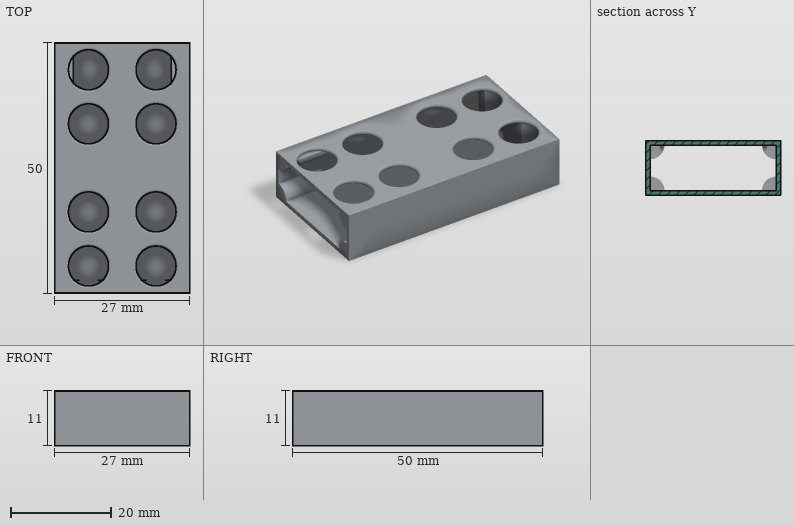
import cadquery as cq

width = 27.0
length = 50.0
height = 11.0

skin = 1.0
front_wall = 2.5
cavity_width = width - 2 * skin
cavity_height = height - 2 * skin
cavity_length = length - front_wall

pocket_radius = 4.5
pocket_floor_fillet = 1.0
lip_radius = skin / 2
column_x = width / 4
inner_row_y = 8.8
row_pitch = 10.8
outer_row_y = inner_row_y + row_pitch

rail_radius = 2.75
rail_length = 10.0


def make_shell():
    """Block with a rectangular cavity that runs out through the +Y end."""
    block = cq.Workplane("XY").box(width, length, height, centered=(True, True, False))
    cavity = (
        cq.Workplane("XY")
        .box(cavity_width, cavity_length, cavity_height, centered=(True, False, False))
        .translate((0, front_wall - length / 2, skin))
    )
    return block.cut(cavity)


def make_pocket():
    """Cutter with a rounded floor edge below and a waist as it passes the rounded lip in the top skin."""
    lip_underside = height - skin
    return (
        cq.Workplane("XZ")
        .moveTo(0, skin)
        .lineTo(pocket_radius - pocket_floor_fillet, skin)
        .radiusArc((pocket_radius, skin + pocket_floor_fillet), -pocket_floor_fillet)
        .lineTo(pocket_radius, lip_underside)
        .threePointArc((pocket_radius - lip_radius, height - lip_radius), (pocket_radius, height))
        .lineTo(0, height)
        .close()
        .revolve(360, (0, 0, 0), (0, 1, 0))
    )


def make_lower_rail():
    """Quarter-round rail in the corner between the cavity floor and the +X wall."""
    wall_x = cavity_width / 2
    return (
        cq.Workplane("XZ", origin=(0, length / 2, 0))
        .moveTo(wall_x, skin)
        .lineTo(wall_x - rail_radius, skin)
        .radiusArc((wall_x, skin + rail_radius), rail_radius)
        .close()
        .extrude(rail_length)
    )


result = make_shell()

pocket = make_pocket()
for x in (-column_x, column_x):
    for y in (-outer_row_y, -inner_row_y, inner_row_y, outer_row_y):
        result = result.cut(pocket.translate((x, y, 0)))

lower_rail = make_lower_rail()
upper_rail = lower_rail.mirror("XY", (0, 0, height / 2))
for rail in (lower_rail, upper_rail):
    result = result.union(rail).union(rail.mirror("YZ"))